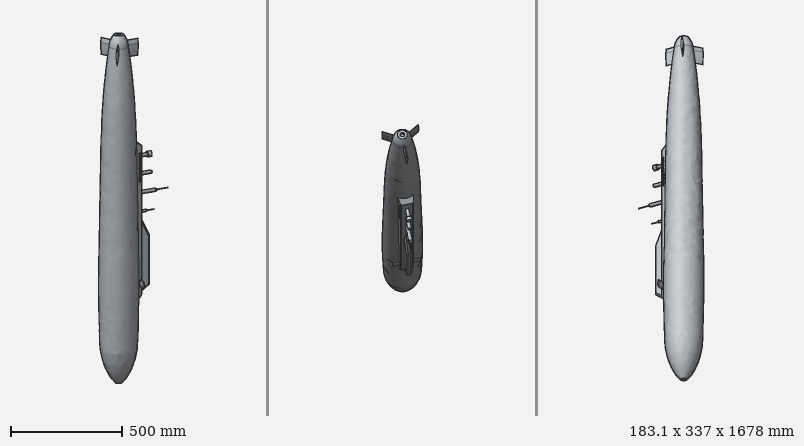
import cadquery as cq
HULL_LENGTH = 1678.0
HULL_DIAMETER = 183.0
HULL_RADIUS = HULL_DIAMETER / 2
OVERALL_DEPTH = 337.0
WIDEST_Z = 453.0

NOSE_TIP_RADIUS = 15.0
NOSE_POINTS = [(35.0, 23.0), (64.0, 80.0), (82.0, 148.0), (87.0, 218.0)]

BODY_MID = (85.0, 872.0)
BODY_AFT = (72.0, 1350.0)

TAIL_RING_RADIUS = 44.0
TAIL_RING_Z = 1622.0
TAIL_BULGE = (35.0, 1658.0)
STERN_RADIUS = 22.0
STERN_HOLE_RADIUS = 10.0
STERN_HOLE_DEPTH = 17.0

FIN_COUNT = 3
FIN_TIP_RADIUS = 95.0
FIN_AFT_Z = 1645.0
FIN_FORE_Z = 1562.0
FIN_THICKNESS = 10.0
FIN_BULGE = 0.8

DECK_Y = 104.0
CASING_SHOULDER_Y = 99.0
CASING_ROOT_Y = 50.0
CASING_TOP_HALF_WIDTH = 25.0
CASING_SHOULDER_HALF_WIDTH = 30.0
CASING_ROOT_HALF_WIDTH = 42.0
CASING_DECK_FORE_Z = 420.0
CASING_DECK_AFT_Z = 1135.0
CASING_FORE_SLOPE = 1.0
CASING_AFT_SLOPE = 0.7

SLOT_COUNT = 7
SLOT_LENGTH = 13.0
SLOT_GAP = 7.5
SLOT_PITCH = SLOT_LENGTH + SLOT_GAP
SLOT_HEIGHT = 7.0
SLOT_Y = 90.0
SLOT_DEPTH = 10.0
FIRST_SLOT_Z = 968.0

PLANE_HALF_SPAN = 64.0
PLANE_CHORD = 37.0
PLANE_THICKNESS = 8.0
PLANE_Y = 94.0
PLANE_Z = 473.0

SAIL_TOP_Y = 151.0
SAIL_HALF_WIDTH = 13.0
SAIL_BASE_Z = (420.0, 789.0)
SAIL_TOP_Z = (451.0, 690.0)
SAIL_CHAMFER = 8.0

MAST_RADIUS = 8.0
WHIP_RADIUS = 2.0

SENSOR_MAST_Z = 1077.0
SENSOR_HEAD_Y = 143.0
SENSOR_TIP_Y = 161.0
SENSOR_HEAD_RADIUS = 13.0

PERISCOPE_Z = 990.0
PERISCOPE_TIP_Y = 166.0
PERISCOPE_CHAMFER = 5.0

LONG_ANTENNA_Z = 900.0
LONG_ANTENNA_NECK_Y = 181.0
LONG_ANTENNA_CONE_Y = 195.0
LONG_ANTENNA_TIP_Y = OVERALL_DEPTH - HULL_RADIUS

SHORT_ANTENNA_Z = 807.0
SHORT_ANTENNA_RADIUS = 5.9
SHORT_ANTENNA_NECK_Y = 138.0
SHORT_ANTENNA_TIP_Y = 176.0


def make_hull_shell():
    """Body of revolution: rounded nose, long tapering body and rounded tail."""
    rings = [*NOSE_POINTS, (HULL_RADIUS, WIDEST_Z), BODY_MID, BODY_AFT, (TAIL_RING_RADIUS, TAIL_RING_Z)]
    profile = (
        cq.Workplane("XZ")
        .lineTo(NOSE_TIP_RADIUS, 0)
        .spline(rings, includeCurrent=True)
        .threePointArc(TAIL_BULGE, (STERN_RADIUS, HULL_LENGTH))
        .lineTo(0, HULL_LENGTH)
        .close()
    )
    shell = profile.revolve(360, (0, 0, 0), (0, 1, 0))
    hole = (
        cq.Workplane("XY", origin=(0, 0, HULL_LENGTH - STERN_HOLE_DEPTH))
        .circle(STERN_HOLE_RADIUS)
        .extrude(STERN_HOLE_DEPTH)
    )
    return shell.cut(hole)


def make_upright_fin():
    """Fin pointing to +Y, with a curved fore part and thickest level with the tail ring."""
    bulge_x = FIN_BULGE * FIN_THICKNESS / 2
    bulge_z = (FIN_FORE_Z + TAIL_RING_Z) / 2
    return (
        cq.Workplane("XZ")
        .moveTo(0, FIN_FORE_Z)
        .threePointArc((bulge_x, bulge_z), (FIN_THICKNESS / 2, TAIL_RING_Z))
        .lineTo(0, FIN_AFT_Z)
        .lineTo(-FIN_THICKNESS / 2, TAIL_RING_Z)
        .threePointArc((-bulge_x, bulge_z), (0, FIN_FORE_Z))
        .close()
        .extrude(-FIN_TIP_RADIUS)
    )


def make_casing():
    """Long deck fairing: tapered cross-section along Z, with sloped fore and aft ends."""
    fore_root_z = CASING_DECK_FORE_Z - CASING_FORE_SLOPE * (DECK_Y - CASING_ROOT_Y)
    aft_root_z = CASING_DECK_AFT_Z + CASING_AFT_SLOPE * (DECK_Y - CASING_ROOT_Y)
    cross_section = (
        cq.Workplane("XY", origin=(0, 0, fore_root_z))
        .moveTo(-CASING_ROOT_HALF_WIDTH, CASING_ROOT_Y)
        .lineTo(CASING_ROOT_HALF_WIDTH, CASING_ROOT_Y)
        .lineTo(CASING_SHOULDER_HALF_WIDTH, CASING_SHOULDER_Y)
        .lineTo(CASING_TOP_HALF_WIDTH, DECK_Y)
        .lineTo(-CASING_TOP_HALF_WIDTH, DECK_Y)
        .lineTo(-CASING_SHOULDER_HALF_WIDTH, CASING_SHOULDER_Y)
        .close()
        .extrude(aft_root_z - fore_root_z)
    )
    side_outline = (
        cq.Workplane("YZ")
        .moveTo(CASING_ROOT_Y, fore_root_z)
        .lineTo(DECK_Y, CASING_DECK_FORE_Z)
        .lineTo(DECK_Y, CASING_DECK_AFT_Z)
        .lineTo(CASING_ROOT_Y, aft_root_z)
        .close()
        .extrude(CASING_ROOT_HALF_WIDTH, both=True)
    )
    return cross_section.intersect(side_outline)


def make_casing_slots():
    """Shallow slots in a row along both sides of the casing."""
    shoulder_fraction = (SLOT_Y - CASING_ROOT_Y) / (CASING_SHOULDER_Y - CASING_ROOT_Y)
    side_taper = CASING_ROOT_HALF_WIDTH - CASING_SHOULDER_HALF_WIDTH
    side_x = CASING_ROOT_HALF_WIDTH - side_taper * shoulder_fraction
    centres = [
        (side * side_x, SLOT_Y, FIRST_SLOT_Z + index * SLOT_PITCH)
        for side in (-1, 1)
        for index in range(SLOT_COUNT)
    ]
    slots = cq.Workplane("XY")
    for centre in centres:
        slots = slots.union(cq.Workplane("XY", origin=centre).box(2 * SLOT_DEPTH, SLOT_HEIGHT, SLOT_LENGTH))
    return slots


def make_diving_planes():
    """One lens-section wing passing through the casing from side to side."""
    fore_edge = (PLANE_Y, PLANE_Z - PLANE_CHORD / 2)
    aft_edge = (PLANE_Y, PLANE_Z + PLANE_CHORD / 2)
    return (
        cq.Workplane("YZ")
        .moveTo(*fore_edge)
        .threePointArc((PLANE_Y + PLANE_THICKNESS / 2, PLANE_Z), aft_edge)
        .threePointArc((PLANE_Y - PLANE_THICKNESS / 2, PLANE_Z), fore_edge)
        .close()
        .extrude(PLANE_HALF_SPAN, both=True)
    )


def make_hull():
    hull = make_hull_shell()
    fin = make_upright_fin()
    for index in range(FIN_COUNT):
        hull = hull.union(fin.rotate((0, 0, 0), (0, 0, 1), index * 360 / FIN_COUNT))
    casing = make_casing().cut(make_casing_slots())
    return hull.union(casing).union(make_diving_planes())


def make_sail():
    """Trapezoidal sail on the deck, chamfered all round its sides except at the base."""
    return (
        cq.Workplane("YZ")
        .moveTo(DECK_Y, SAIL_BASE_Z[0])
        .lineTo(SAIL_TOP_Y, SAIL_TOP_Z[0])
        .lineTo(SAIL_TOP_Y, SAIL_TOP_Z[1])
        .lineTo(DECK_Y, SAIL_BASE_Z[1])
        .close()
        .extrude(SAIL_HALF_WIDTH, both=True)
        .faces("<X or >X")
        .edges("not <Y")
        .chamfer(SAIL_CHAMFER)
    )


def make_mast(z, outline):
    """Round mast standing on the deck at height z; outline lists (radius, Y) from its foot to its tip."""
    points = [(0, DECK_Y), *outline, (0, outline[-1][1])]
    return (
        cq.Workplane("XY", origin=(0, 0, z))
        .polyline(points)
        .close()
        .revolve(360, (0, 0, 0), (0, 1, 0))
    )


def make_sensor_mast():
    outline = [
        (MAST_RADIUS, DECK_Y),
        (MAST_RADIUS, SENSOR_HEAD_Y),
        (SENSOR_HEAD_RADIUS, SENSOR_HEAD_Y),
        (SENSOR_HEAD_RADIUS, SENSOR_TIP_Y),
    ]
    return make_mast(SENSOR_MAST_Z, outline)


def make_periscope():
    outline = [
        (MAST_RADIUS, DECK_Y),
        (MAST_RADIUS, PERISCOPE_TIP_Y - PERISCOPE_CHAMFER),
        (MAST_RADIUS - PERISCOPE_CHAMFER, PERISCOPE_TIP_Y),
    ]
    return make_mast(PERISCOPE_Z, outline)


def make_long_antenna():
    outline = [
        (MAST_RADIUS, DECK_Y),
        (MAST_RADIUS, LONG_ANTENNA_NECK_Y),
        (WHIP_RADIUS, LONG_ANTENNA_CONE_Y),
        (WHIP_RADIUS, LONG_ANTENNA_TIP_Y),
    ]
    return make_mast(LONG_ANTENNA_Z, outline)


def make_short_antenna():
    outline = [
        (SHORT_ANTENNA_RADIUS, DECK_Y),
        (SHORT_ANTENNA_RADIUS, SHORT_ANTENNA_NECK_Y),
        (WHIP_RADIUS, SHORT_ANTENNA_NECK_Y),
        (WHIP_RADIUS, SHORT_ANTENNA_TIP_Y),
    ]
    return make_mast(SHORT_ANTENNA_Z, outline)


hull = make_hull()
sail = make_sail()
sensor_mast = make_sensor_mast()
periscope = make_periscope()
long_antenna = make_long_antenna()
short_antenna = make_short_antenna()

result = cq.Compound.makeCompound([
    hull.val(),
    sail.val(),
    sensor_mast.val(),
    periscope.val(),
    long_antenna.val(),
    short_antenna.val(),
])